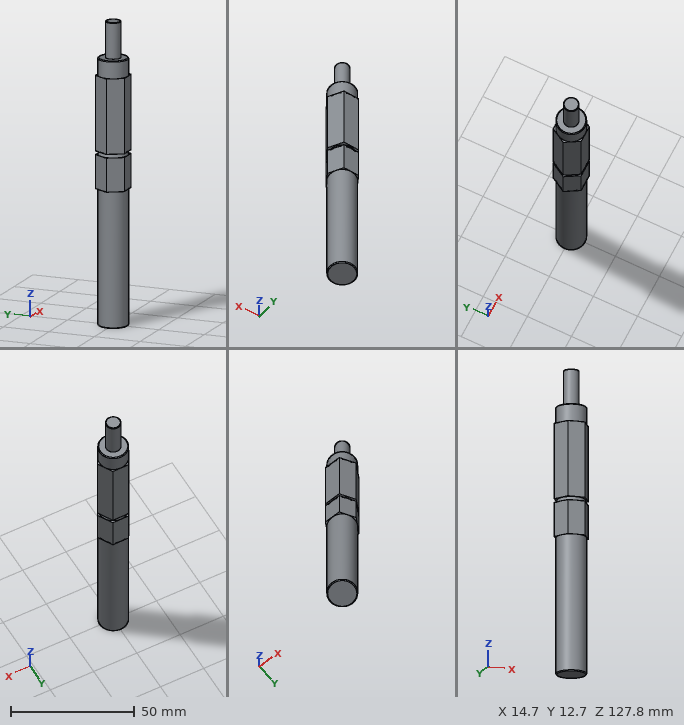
import cadquery as cq
import math

total_length = 127.79
hex_across_flats = 12.7
rod_diameter = 12.6
pin_diameter = 6.35

rod_length = 57.5
lower_hex_length = 14.3
gap_length = 1.55
upper_hex_length = 31.7
collar_length = 7.4

rod_end_chamfer = 0.4
collar_chamfer = 0.4
pin_chamfer = 0.3
neck_top_diameter = 11.6

lower_hex_base = rod_length
neck_base = lower_hex_base + lower_hex_length
upper_hex_base = neck_base + gap_length
collar_base = upper_hex_base + upper_hex_length
collar_top = collar_base + collar_length

hex_across_corners = hex_across_flats / math.cos(math.pi / 6)


def hexagon(base, length):
    """Hexagonal bar with corners on the X axis and flats facing +Y and -Y."""
    return cq.Workplane("XY").workplane(offset=base).polygon(6, hex_across_corners).extrude(length)


def turned_core():
    """Rod, neck, collar and pin revolved from one half profile."""
    rod_radius = rod_diameter / 2
    neck_radius = neck_top_diameter / 2
    pin_radius = pin_diameter / 2
    profile = [
        (0, 0),
        (rod_radius - rod_end_chamfer, 0),
        (rod_radius, rod_end_chamfer),
        (rod_radius, neck_base),
        (neck_radius, upper_hex_base),
        (rod_radius, upper_hex_base),
        (rod_radius, collar_top - collar_chamfer),
        (rod_radius - collar_chamfer, collar_top),
        (pin_radius, collar_top),
        (pin_radius, total_length - pin_chamfer),
        (pin_radius - pin_chamfer, total_length),
        (0, total_length),
    ]
    return cq.Workplane("XZ").polyline(profile).close().revolve(360, (0, 0, 0), (0, 1, 0))


lower_hex = hexagon(lower_hex_base, lower_hex_length)
upper_hex = hexagon(upper_hex_base, upper_hex_length)
result = turned_core().union(lower_hex).union(upper_hex)